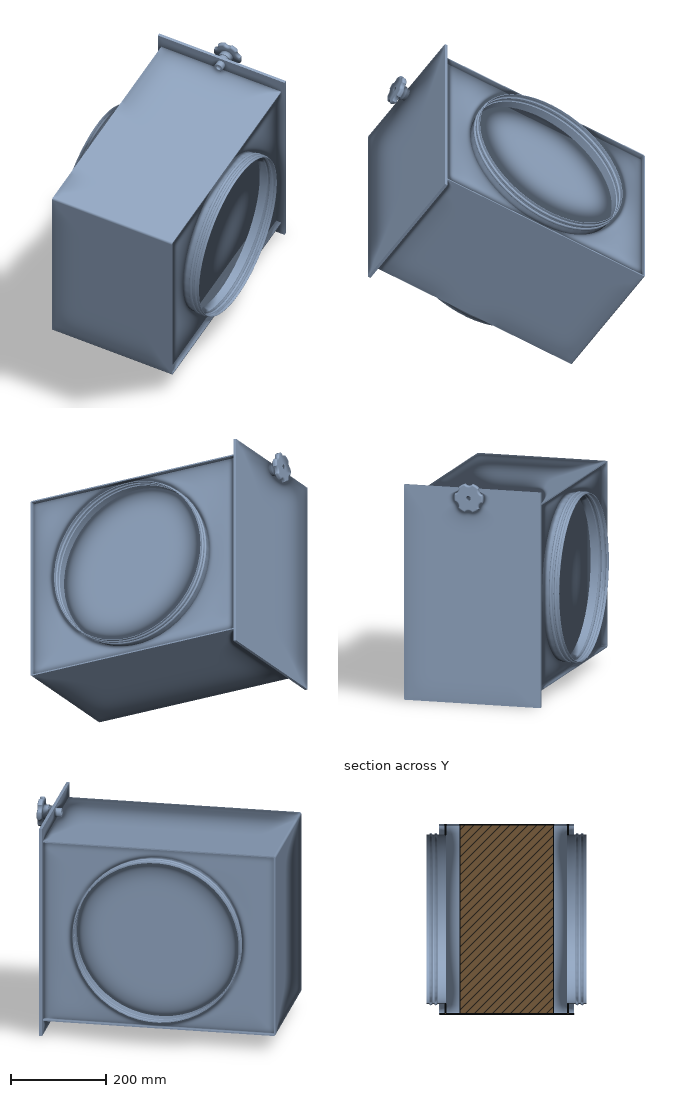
import cadquery as cq
import math

sheet = 2.5
cover_thickness = 3.5
bend_radius = 4.0
inner_bend_radius = bend_radius - sheet

casing_width = 283.0
casing_height = 399.0
flange_width = 299.0
flange_height = 460.0
flange_front = 496.5
wall_recess = 11.5
casing_bottom = 31.0
flange_back = flange_front + sheet
cover_back = flange_back + cover_thickness
casing_top = casing_bottom + casing_height
casing_mid_z = casing_bottom + casing_height / 2
wall_outer_x = casing_width / 2 - wall_recess
wall_inner_x = wall_outer_x - sheet

spigot_end_x = 167.0
spigot_y = 250.0
spigot_radius = 177.5
spigot_thickness = 1.0
bead_height = 2.5
bead_half_width = 3.0
bead_centres = (148.0, 158.5)
spigot_bore_radius = spigot_radius - spigot_thickness

cassette_gap = 28.0
cassette_width = 2 * (wall_inner_x - cassette_gap)

knob_z = 445.5
knob_back = 532.0
knob_thickness = 10.5
knob_radius = 31.5
knob_edge = 3.5
scallop_count = 6
scallop_radius = 10.5
scallop_centre_radius = 37.0
collar_radius = 15.5
collar_length = 11.0
neck_radius = 13.5
stub_radius = 9.5
stub_front = 483.5
stub_chamfer = 0.5
knob_bore_radius = 5.5


def block(width, y_start, y_end, z_bottom, z_top):
    """Box centred on X, between the given Y and Z limits."""
    size = (width, y_end - y_start, z_top - z_bottom)
    return cq.Workplane("XY").box(*size, centered=(True, False, False)).translate((0, y_start, z_bottom))


def cylinder(radius, y_start, y_end):
    """Cylinder on the knob axis, between the given Y limits."""
    return cq.Workplane("XZ", origin=(0, y_start, knob_z)).circle(radius).extrude(y_start - y_end)


def rounded_disc(radius, end_radius, y_start, y_end):
    """Disc on the knob axis whose rim curves from `radius` to `end_radius` at both faces."""
    arc_middle = math.sqrt(0.5)
    middle_radius = end_radius + (radius - end_radius) * arc_middle
    middle_depth = knob_edge * (1 - arc_middle)
    profile = cq.Workplane("XY").moveTo(0, y_start).lineTo(end_radius, y_start)
    profile = profile.threePointArc((middle_radius, y_start + middle_depth), (radius, y_start + knob_edge))
    profile = profile.lineTo(radius, y_end - knob_edge)
    profile = profile.threePointArc((middle_radius, y_end - middle_depth), (end_radius, y_end))
    profile = profile.lineTo(0, y_end).close()
    return profile.revolve(360, (0, 0, 0), (0, 1, 0)).translate((0, 0, knob_z))


def make_casing():
    outside = block(casing_width, 0, flange_front, casing_bottom, casing_top)
    outside = outside.edges("|X and <Y").fillet(bend_radius)
    inside = block(casing_width, sheet, flange_front, casing_bottom + sheet, casing_top - sheet)
    inside = inside.edges("|X and <Y").fillet(inner_bend_radius)
    walls = inside.intersect(block(2 * wall_outer_x, 0, flange_front, casing_bottom, casing_top))
    cavity = inside.intersect(block(2 * wall_inner_x, 0, flange_front, casing_bottom, casing_top))
    flange = block(flange_width, flange_front, flange_back, 0, flange_height)
    opening = block(2 * wall_inner_x, flange_front, flange_back, casing_bottom + sheet, casing_top - sheet)
    openings = cq.Workplane("YZ", origin=(-casing_width / 2, spigot_y, casing_mid_z))
    openings = openings.circle(spigot_bore_radius).extrude(casing_width)
    casing = outside.cut(inside).union(walls.cut(cavity)).union(flange)
    return casing.cut(opening).cut(openings).cut(cylinder(neck_radius, flange_front, flange_back))


def make_cover():
    cover = block(flange_width, flange_back, cover_back, 0, flange_height)
    return cover.cut(cylinder(neck_radius, flange_back, cover_back))


def make_spigot(side):
    """Beaded ring on the wall at +X (side = 1) or -X (side = -1)."""
    profile = cq.Workplane("XY").moveTo(wall_outer_x, spigot_radius)
    for x in bead_centres:
        profile = profile.lineTo(x - bead_half_width, spigot_radius)
        profile = profile.threePointArc((x, spigot_radius + bead_height), (x + bead_half_width, spigot_radius))
    profile = profile.lineTo(spigot_end_x, spigot_radius).lineTo(spigot_end_x, spigot_bore_radius)
    for x in reversed(bead_centres):
        inner_crest = (x, spigot_bore_radius + bead_height)
        profile = profile.lineTo(x + bead_half_width, spigot_bore_radius)
        profile = profile.threePointArc(inner_crest, (x - bead_half_width, spigot_bore_radius))
    ring = profile.lineTo(wall_outer_x, spigot_bore_radius).close().revolve(360, (0, 0, 0), (1, 0, 0))
    if side < 0:
        ring = ring.mirror("YZ")
    return ring.translate((0, spigot_y, casing_mid_z))


def make_cassette():
    cassette = block(cassette_width, sheet, flange_back, casing_bottom + sheet, casing_top - sheet)
    return cassette.edges("|X and <Y").fillet(inner_bend_radius)


def make_knob():
    knob_front = knob_back - knob_thickness
    wheel = rounded_disc(knob_radius, knob_radius - knob_edge, knob_front, knob_back)
    scallop = rounded_disc(scallop_radius, scallop_radius + knob_edge, knob_front, knob_back)
    for i in range(scallop_count):
        angle = 2 * math.pi * i / scallop_count
        shift = (scallop_centre_radius * math.sin(angle), 0, scallop_centre_radius * math.cos(angle))
        wheel = wheel.cut(scallop.translate(shift))
    collar_front = knob_front - collar_length
    stub = cylinder(stub_radius, stub_front, flange_front).faces("<Y").chamfer(stub_chamfer)
    knob = wheel.union(cylinder(collar_radius, collar_front, knob_front))
    knob = knob.union(cylinder(neck_radius, flange_front, collar_front)).union(stub)
    return knob.cut(cylinder(knob_bore_radius, stub_front, knob_back))


casing = make_casing()
cover = make_cover()
spigots = [make_spigot(side) for side in (-1, 1)]
cassette = make_cassette()
knob = make_knob()

result = cq.Compound.makeCompound(
    [casing.val(), cover.val(), *[spigot.val() for spigot in spigots], cassette.val(), knob.val()]
)